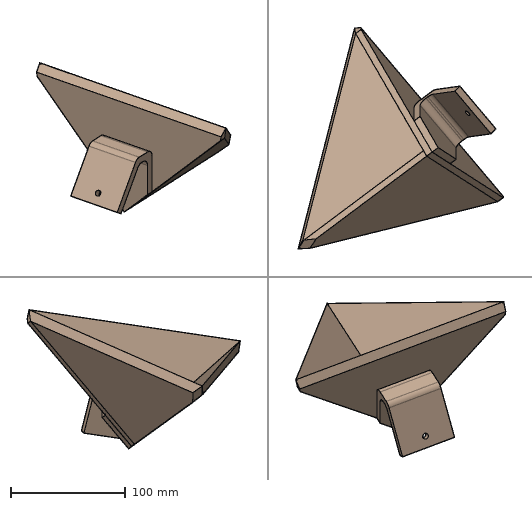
import cadquery as cq
import math

half_span = 101.5
height = 110.5
nose_length = 143.9

valley_height = height - half_span
joint_height = valley_height / 2
outer_corner = 100.0
nose_undercut = 20.3

plate_thickness = 6.0
plate_bevel_drop = 6.5

bracket_width = 50.8
bracket_thickness = 6.7
bracket_height = 67.9
bracket_reach = 51.2
bracket_tip_height = 27.0
bend_radius = 6.7
flap_angle = math.atan(math.sqrt(2))
hole_diameter = 5.0
hole_from_tip = 10.4

bracket_back = -plate_thickness
cutter_size = 4 * half_span


def rim_cutter(side):
    """Half space beyond the sloping rim of one wing (side -1 is -X, +1 is +X)."""
    corner = cq.Vector(side * half_span, 0, height)
    rim_direction = cq.Vector(0, nose_length, valley_height) - corner
    edge_direction = cq.Vector(side * outer_corner, 0, outer_corner) - corner
    outward = rim_direction.cross(edge_direction) * -side
    rim_plane = cq.Plane(origin=corner, xDir=rim_direction, normal=outward)
    return cq.Workplane(rim_plane).rect(cutter_size, cutter_size).extrude(cutter_size)


def nose_cutter():
    """Wedge below and ahead of the raked nose, from the keel up to the nose tip."""
    return (
        cq.Workplane("YZ")
        .moveTo(nose_length - nose_undercut, 0)
        .lineTo(nose_length, valley_height)
        .lineTo(nose_length, 0)
        .close()
        .extrude(half_span, both=True)
    )


def wing(side, section):
    """Plate section in XZ swept along +Y, then trimmed at its rim and nose."""
    plate = cq.Workplane("XZ").polyline(section).close().extrude(-nose_length)
    return plate.cut(rim_cutter(side)).cut(nose_cutter())


def make_left_wing():
    top = half_span + joint_height
    section = [
        (0, valley_height),
        (-half_span, height),
        (-top, top),
        (-joint_height, joint_height),
    ]
    return wing(-1, section)


def make_right_wing():
    top = half_span + joint_height
    section = [
        (-joint_height, joint_height),
        (0, 0),
        (top, top),
        (half_span, height),
    ]
    return wing(1, section)


def make_end_plate():
    outline = [
        (0, 0),
        (outer_corner, outer_corner),
        (half_span, height),
        (-half_span, height),
        (-outer_corner, outer_corner),
    ]
    plate = cq.Workplane("XZ").polyline(outline).close().extrude(plate_thickness)
    bevel = (
        cq.Workplane("YZ")
        .moveTo(0, height)
        .lineTo(-plate_thickness, height)
        .lineTo(-plate_thickness, height - plate_bevel_drop)
        .close()
        .extrude(half_span, both=True)
    )
    return plate.cut(bevel)


def make_bracket():
    run = math.cos(flap_angle)
    drop = math.sin(flap_angle)
    tip_y = bracket_back - bracket_reach
    outer_bend_y = tip_y + (bracket_height - bracket_tip_height) * run / drop
    inner_bend_y = outer_bend_y + bracket_thickness * math.tan(flap_angle / 2)
    front_y = bracket_back - bracket_thickness
    under_top = bracket_height - bracket_thickness

    profile = [
        (bracket_back, 0),
        (bracket_back, bracket_height),
        (outer_bend_y, bracket_height),
        (tip_y, bracket_tip_height),
        (tip_y + bracket_thickness * drop, bracket_tip_height - bracket_thickness * run),
        (inner_bend_y, under_top),
        (front_y, under_top),
        (front_y, 0),
    ]
    strip = cq.Workplane("YZ").polyline(profile).close().extrude(bracket_width / 2, both=True)

    for bend_y, bend_z in [profile[1], profile[2], profile[5], profile[6]]:
        bend_edge = cq.selectors.NearestToPointSelector((0, bend_y, bend_z))
        strip = strip.edges("|X").edges(bend_edge).fillet(bend_radius)

    v_outline = [(0, 0), (height, height), (-height, height)]
    v_prism = cq.Workplane("XZ").polyline(v_outline).close().extrude(cutter_size)
    foot_block = (
        cq.Workplane("XY")
        .box(bracket_width, bracket_thickness, bracket_width)
        .translate((0, bracket_back - bracket_thickness / 2, bracket_width / 2))
    )
    strip = strip.cut(foot_block.cut(v_prism))

    hole_plane = cq.Plane(
        origin=(0, tip_y + hole_from_tip * run, bracket_tip_height + hole_from_tip * drop),
        xDir=(1, 0, 0),
        normal=(0, drop, -run),
    )
    hole = cq.Workplane(hole_plane).circle(hole_diameter / 2).extrude(bracket_thickness)
    return strip.cut(hole)


left_wing = make_left_wing()
right_wing = make_right_wing()
end_plate = make_end_plate()
bracket = make_bracket()

result = cq.Compound.makeCompound([
    left_wing.val(),
    right_wing.val(),
    end_plate.val(),
    bracket.val(),
])